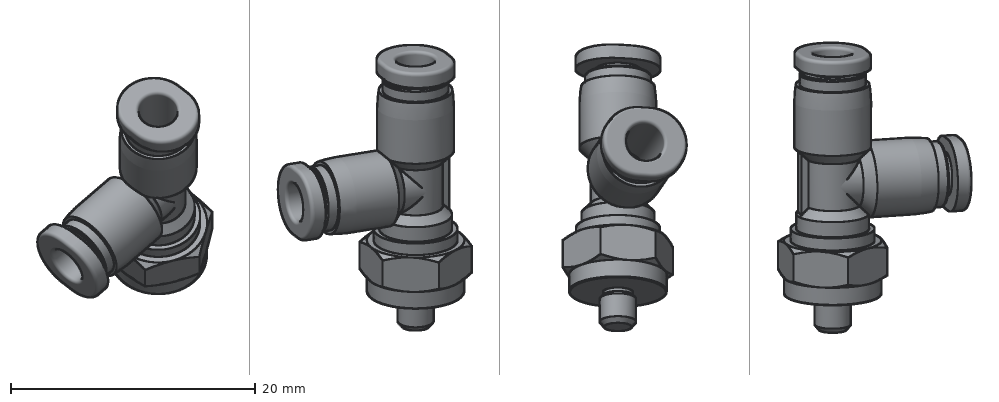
import cadquery as cq
import math

total_height = 23.4
arm_reach = 10.9
tee_height = total_height - arm_reach

thread_radius = 1.5
stud_tip_radius = 1.12
stud_tip_height = 0.45
thread_top = 2.4
undercut_radius = 1.25
undercut_start = 2.7

hex_across_flats = 8.0
hex_chamfer_angle = 30.0
flange_bottom = 3.0
flange_edge_chamfer = 0.07
hex_bottom = 4.5
hex_top = 7.5
collar_radius = 3.45
collar_top = 8.52
shoulder_radius = 3.0
shoulder_top = 9.78
flange_radius = hex_across_flats / 2

stem_radius = 2.25
rib_thickness = 1.0
rib_reach = 2.8

sleeve_radius = 3.15
sleeve_start = 2.9
sleeve_end = 6.7
sleeve_tip_radius = 3.02
sleeve_tip = 8.17
ring_radius = 2.71
ring_end = 9.17
ring_chamfer = 0.15
neck_radius = 1.8

cap_length = 7.0
cap_width = 6.01
cap_thickness = 1.25
cap_fillet = 0.3
bore_radius = 1.6
bore_rim_fillet = 0.28
bore_depth = arm_reach - sleeve_start


def base():
    """Stud, flange, collar, shoulder and lower stem as one turned profile."""
    cone_height = shoulder_radius - stem_radius
    profile = [
        (0, 0),
        (stud_tip_radius, 0),
        (thread_radius, stud_tip_height),
        (thread_radius, thread_top),
        (undercut_radius, undercut_start),
        (undercut_radius, flange_bottom),
        (flange_radius - flange_edge_chamfer, flange_bottom),
        (flange_radius, flange_bottom + flange_edge_chamfer),
        (flange_radius, hex_bottom),
        (collar_radius, hex_bottom),
        (collar_radius, collar_top),
        (shoulder_radius, collar_top),
        (shoulder_radius, shoulder_top),
        (stem_radius, shoulder_top + cone_height),
        (stem_radius, tee_height),
        (0, tee_height),
    ]
    return cq.Workplane("XZ").polyline(profile).close().revolve(360, (0, 0), (0, 1))


def hex_nut():
    """Hexagon with corners on the X axis, its corners turned off at both ends."""
    corner_radius = flange_radius / math.cos(math.pi / 6)
    corner_drop = (corner_radius - flange_radius) * math.tan(math.radians(hex_chamfer_angle))
    prism = (
        cq.Workplane("XY")
        .workplane(offset=hex_bottom)
        .polygon(6, 2 * corner_radius)
        .extrude(hex_top - hex_bottom)
    )
    turned_profile = [
        (0, hex_bottom),
        (flange_radius, hex_bottom),
        (corner_radius, hex_bottom + corner_drop),
        (corner_radius, hex_top - corner_drop),
        (flange_radius, hex_top),
        (0, hex_top),
    ]
    turned = cq.Workplane("XZ").polyline(turned_profile).close().revolve(360, (0, 0), (0, 1))
    return prism.intersect(turned)


def release_cap():
    """Oval cap, long along X, with a rounded outer edge."""
    return (
        cq.Workplane("XY")
        .workplane(offset=arm_reach - cap_thickness)
        .slot2D(cap_length, cap_width)
        .extrude(cap_thickness)
        .faces(">Z")
        .edges()
        .fillet(cap_fillet)
    )


def tube_arm():
    """Tube arm along +Z from the tee centre at the origin, not yet bored."""
    cone_length = sleeve_radius - stem_radius
    turned = (
        cq.Workplane("XZ")
        .lineTo(stem_radius, 0)
        .lineTo(stem_radius, sleeve_start - cone_length)
        .lineTo(sleeve_radius, sleeve_start)
        .lineTo(sleeve_radius, sleeve_end)
        .tangentArcPoint((sleeve_tip_radius, sleeve_tip), relative=False)
        .lineTo(ring_radius, sleeve_tip)
        .lineTo(ring_radius, ring_end - ring_chamfer)
        .lineTo(ring_radius - ring_chamfer, ring_end)
        .lineTo(neck_radius, ring_end)
        .lineTo(neck_radius, arm_reach - cap_thickness)
        .lineTo(0, arm_reach - cap_thickness)
        .close()
        .revolve(360, (0, 0), (0, 1))
    )
    return turned.union(release_cap())


def tube_bore():
    """Blind bore tool along +Z whose mouth flares to round the cap rim."""
    rim_radius = bore_radius + bore_rim_fillet
    rim_start = arm_reach - bore_rim_fillet
    arc_offset = bore_rim_fillet * math.sin(math.pi / 4)
    return (
        cq.Workplane("XZ")
        .moveTo(0, arm_reach - bore_depth)
        .lineTo(bore_radius, arm_reach - bore_depth)
        .lineTo(bore_radius, rim_start)
        .threePointArc((rim_radius - arc_offset, rim_start + arc_offset), (rim_radius, arm_reach))
        .lineTo(0, arm_reach)
        .close()
        .revolve(360, (0, 0), (0, 1))
    )


def back_rib():
    """Flat web behind the stem, joining the two cones."""
    rib_top = tee_height + sleeve_start
    return (
        cq.Workplane("XY")
        .workplane(offset=shoulder_top)
        .rect(rib_thickness, rib_reach, centered=(True, False))
        .extrude(rib_top - shoulder_top)
    )


def at_tee(shape, tilt):
    """Turn an arm shape about X by tilt degrees and lift it to the tee centre."""
    return shape.rotate((0, 0, 0), (1, 0, 0), tilt).translate((0, 0, tee_height))


upward_tilt = 0
forward_tilt = 90
arm_tilts = (upward_tilt, forward_tilt)

result = base().union(hex_nut()).union(back_rib())
for arm_tilt in arm_tilts:
    result = result.union(at_tee(tube_arm(), arm_tilt))
for arm_tilt in arm_tilts:
    result = result.cut(at_tee(tube_bore(), arm_tilt))